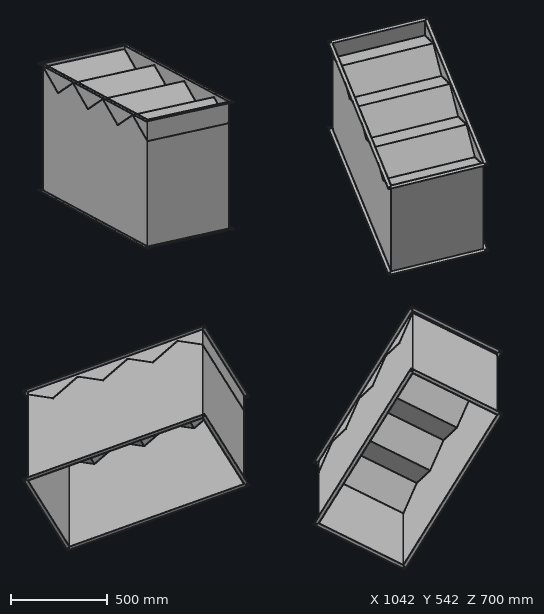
import cadquery as cq
import math

LENGTH = 1042.0
WIDTH = 542.0
HEIGHT = 700.0

SHEET = 1.0
FLANGE_OVERHANG = 20.0
CASING_LENGTH = LENGTH - 2 * FLANGE_OVERHANG
CASING_WIDTH = WIDTH - 2 * FLANGE_OVERHANG
INNER_LENGTH = CASING_LENGTH - 2 * SHEET
INNER_WIDTH = CASING_WIDTH - 2 * SHEET

HOLE_DIAMETER = 8.0
HOLE_INSET = FLANGE_OVERHANG / 2

PLEAT_FACES = 7
PEAK_BELOW_TOP = 19.0
PLEAT_DEPTH = 100.0
PEAK_Z = HEIGHT - PEAK_BELOW_TOP
VALLEY_Z = PEAK_Z - PLEAT_DEPTH


def make_flange(bottom_z):
    """Flat plate with a hole at each corner; the casing opening is cut later."""
    return (
        cq.Workplane("XY", origin=(0, 0, bottom_z))
        .rect(LENGTH, WIDTH)
        .extrude(SHEET)
        .faces(">Z")
        .workplane()
        .rect(LENGTH - 2 * HOLE_INSET, WIDTH - 2 * HOLE_INSET, forConstruction=True)
        .vertices()
        .hole(HOLE_DIAMETER)
    )


def make_housing():
    """Open rectangular duct with a flange at each end."""
    duct = cq.Workplane("XY").rect(CASING_LENGTH, CASING_WIDTH).extrude(HEIGHT)
    for flange_z in (0, HEIGHT - SHEET):
        duct = duct.union(make_flange(flange_z))
    opening = cq.Workplane("XY").rect(INNER_LENGTH, INNER_WIDTH).extrude(HEIGHT)
    return duct.cut(opening)


def make_pleated_sheet():
    """Folded sheet spanning the duct, from a peak at -X to a valley at +X."""
    face_run = INNER_LENGTH / PLEAT_FACES
    upper_folds = []
    for fold in range(PLEAT_FACES + 1):
        fold_x = -INNER_LENGTH / 2 + fold * face_run
        fold_z = PEAK_Z if fold % 2 == 0 else VALLEY_Z
        upper_folds.append((fold_x, fold_z))
    sheet_drop = SHEET * math.hypot(face_run, PLEAT_DEPTH) / face_run
    lower_folds = [(x, z - sheet_drop) for x, z in reversed(upper_folds)]
    outline = upper_folds + lower_folds
    return cq.Workplane("XZ").polyline(outline).close().extrude(INNER_WIDTH / 2, both=True)


housing = make_housing()
pleated_sheet = make_pleated_sheet()

result = cq.Compound.makeCompound([housing.val(), pleated_sheet.val()])